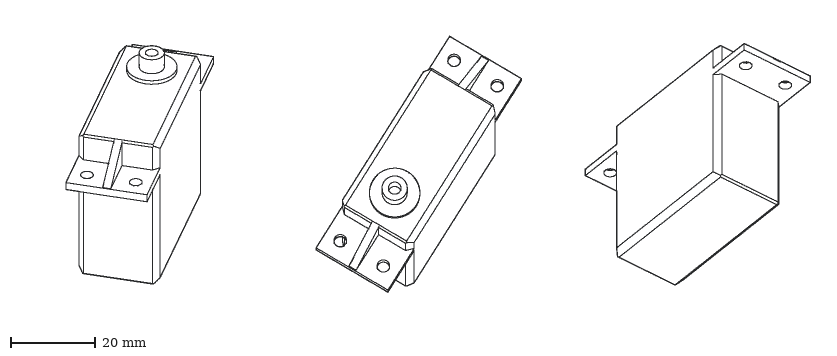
import cadquery as cq

case_width = 20.0
case_length = 40.0
case_height = 40.0
side_chamfer = 1.5
end_chamfer = 0.5

flange_length = 61.0
flange_thickness = 2.0
flange_bottom = 31.0
flange_top = flange_bottom + flange_thickness
hole_diameter = 3.0
hole_spacing_x = 12.0
hole_spacing_y = 52.0

rib_width = 2.0
rib_setback = 0.25
rib_top_drop = 0.25

shaft_y = 11.0
collar_diameter = 12.0
collar_height = 1.0
shaft_diameter = 6.0
shaft_height = 4.0
bore_diameter = 3.0


def make_case():
    """Box with wide chamfers on the upright and long edges, narrow ones on the end edges."""
    case = cq.Workplane("XY").box(case_width, case_length, case_height, centered=(True, True, False))
    case = case.edges("|Z or |Y").chamfer(side_chamfer)
    return case.faces("<Z or >Z").edges("|X").chamfer(end_chamfer)


def make_flange():
    """Plate spanning the case, with two screw holes in each ear."""
    return (
        cq.Workplane("XY", origin=(0, 0, flange_bottom))
        .box(case_width, flange_length, flange_thickness, centered=(True, True, False))
        .faces(">Z")
        .workplane()
        .rarray(hole_spacing_x, hole_spacing_y, 2, 2)
        .hole(hole_diameter)
    )


def make_rib(side):
    """Triangular rib on one ear; side is +1 for the +Y ear and -1 for the -Y ear."""
    tip_y = flange_length / 2 - rib_setback
    crest_y = case_length / 2 - rib_top_drop
    crest_z = case_height - rib_top_drop
    return (
        cq.Workplane("YZ")
        .moveTo(side * crest_y, flange_top)
        .lineTo(side * tip_y, flange_top)
        .lineTo(side * crest_y, crest_z)
        .close()
        .extrude(rib_width / 2, both=True)
    )


def make_shaft():
    """Collar and stub shaft on top of the case, bored down to the collar."""
    collar = (
        cq.Workplane("XY", origin=(0, shaft_y, case_height))
        .circle(collar_diameter / 2)
        .extrude(collar_height)
    )
    stub = (
        cq.Workplane("XY", origin=(0, shaft_y, case_height + collar_height))
        .circle(shaft_diameter / 2)
        .circle(bore_diameter / 2)
        .extrude(shaft_height)
    )
    return collar.union(stub)


result = make_case().union(make_flange()).union(make_shaft())
for ear_side in (1, -1):
    result = result.union(make_rib(ear_side))